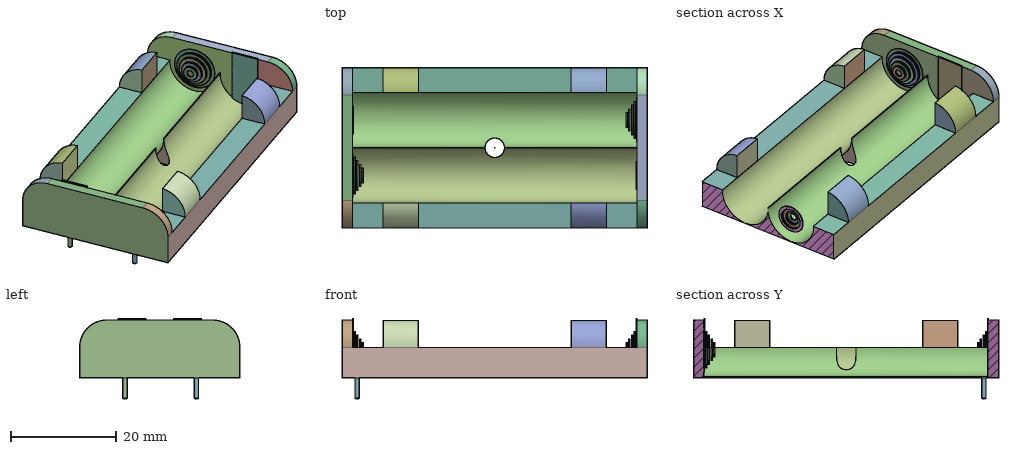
import cadquery as cq

length = 58.0
width = 30.5
base_height = 5.8
wall_height = 11.0
wall_thickness = 1.9
inner_length = length - 2 * wall_thickness

trough_radius = 5.2
trough_axis_z = 5.45
trough_offset = 5.3
trough_edge = trough_offset + trough_radius

clip_length = 6.7
clip_height = 10.95
clip_offset = 17.85

hole_diameter = 3.65

plate_width = 5.4
plate_thickness = 0.25
plate_height = 11.25

pin_diameter = 0.85
pin_length = 4.0
pin_chamfer = 0.2
pin_x = -26.15
pin_y_positions = (6.6, -6.95)

ring_diameters = (7.0, 5.6, 4.2, 2.8)
last_ring_bore = 1.4
seat_diameter = 8.4
seat_height = 0.1
ring_thickness = 0.265
ring_pitch = 0.5
first_ring_gap = 0.35
spring_z = 5.35

core_diameter = 0.02
core_length = 0.02


def rounded_profile(x_start, thickness, height):
    """Block across the full width, with top corners rounded down to the base, extruded along X."""
    return (
        cq.Workplane("YZ", origin=(x_start, 0, 0))
        .center(0, height / 2)
        .rect(width, height)
        .extrude(thickness)
        .edges("|X and >Z")
        .fillet(height - base_height)
    )


def make_clips():
    """Four clips with the rounded outline of the walls, kept outside the troughs."""
    clips = cq.Workplane("XY")
    for x in (-clip_offset, clip_offset):
        clips = clips.add(rounded_profile(x - clip_length / 2, clip_length, clip_height))
    middle = cq.Workplane("XY").box(length, 2 * trough_edge, 3 * wall_height)
    return clips.combine().cut(middle)


def make_trough(y):
    """Round channel whose axis lies just below the top of the base."""
    return (
        cq.Workplane("YZ", origin=(-inner_length / 2, y, trough_axis_z))
        .circle(trough_radius)
        .extrude(inner_length)
    )


def make_plate(side):
    """Flat contact on the inner face of an end wall, opposite that wall's spring."""
    x = side * (inner_length - plate_thickness) / 2
    return (
        cq.Workplane("XY", origin=(x, -side * trough_offset, 0))
        .rect(plate_thickness, plate_width)
        .extrude(plate_height)
    )


def make_spring_seat(side):
    """Low ring on the inner face of an end wall, around the wide end of the spring."""
    return (
        cq.Workplane("YZ", origin=(side * inner_length / 2, side * trough_offset, spring_z))
        .circle(seat_diameter / 2)
        .circle(ring_diameters[0] / 2)
        .extrude(-side * seat_height)
    )


def make_pin(y):
    return (
        cq.Workplane("XY", origin=(pin_x, y, 0))
        .circle(pin_diameter / 2)
        .extrude(-pin_length)
        .faces("<Z")
        .chamfer(pin_chamfer)
    )


def make_housing():
    body = cq.Workplane("XY").box(length, width, base_height, centered=(True, True, False))
    for y in (-trough_offset, trough_offset):
        body = body.cut(make_trough(y))
    body = body.union(make_clips())
    for x_start in (-length / 2, inner_length / 2):
        body = body.union(rounded_profile(x_start, wall_thickness, wall_height))
    body = body.cut(cq.Workplane("XY").circle(hole_diameter / 2).extrude(base_height))
    for side in (-1, 1):
        body = body.union(make_plate(side)).union(make_spring_seat(side))
    for y in pin_y_positions:
        body = body.union(make_pin(y))
    return body


def make_spring_ring(side, index):
    """One ring of the spring on the end wall at the given side of X."""
    bores = ring_diameters[1:] + (last_ring_bore,)
    distance = first_ring_gap + index * ring_pitch + ring_thickness / 2
    x = side * (inner_length / 2 - distance)
    return (
        cq.Workplane("YZ", origin=(x, side * trough_offset, spring_z))
        .circle(ring_diameters[index] / 2)
        .circle(bores[index] / 2)
        .extrude(ring_thickness / 2, both=True)
    )


def make_core():
    return cq.Workplane("XY").circle(core_diameter / 2).extrude(core_length)


housing = make_housing()
spring_rings = [
    make_spring_ring(side, index).val()
    for side in (-1, 1)
    for index in range(len(ring_diameters))
]
core = make_core()

result = cq.Compound.makeCompound([housing.val(), *spring_rings, core.val()])